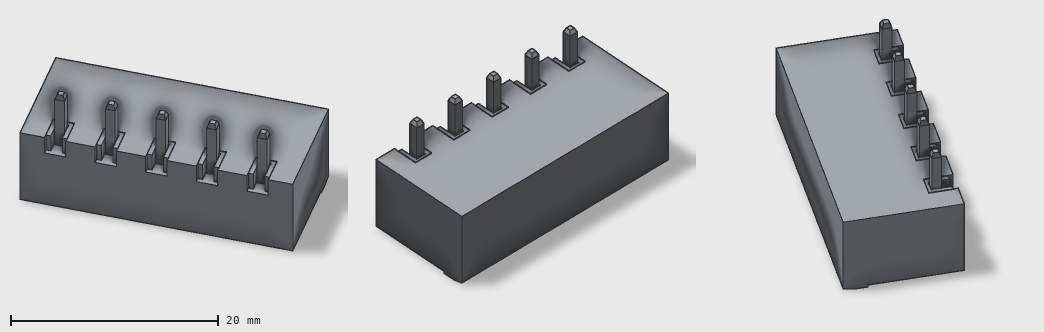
import cadquery as cq

length = 27.4
depth = 12.0
overall_height = 12.65
pin_rise = 4.16
rib_height = 0.25
housing_height = overall_height - pin_rise - rib_height

rib_depth = 2.47
rib_ramp = 1.07

pin_count = 5
pin_row_span = 20.33
pin_pitch = pin_row_span / (pin_count - 1)
pin_width = 1.0
pin_center_y = 2.0
tip_height = 0.5
tip_width = 0.55

notch_width = 2.15
notch_depth = 2.93
notch_height = 1.92
notch_floor = housing_height - notch_height

insert_setback = 0.5
insert_drop = 0.08
slot_width = 1.15
slot_end_y = pin_center_y + slot_width / 2


def box_from(x_center, width, y_front, y_back, z_bottom, z_top):
    """Box centered on x_center, spanning the given y and z ranges."""
    return cq.Workplane("XY").box(
        width, y_back - y_front, z_top - z_bottom, centered=(True, False, False)
    ).translate((x_center, y_front, z_bottom))


def make_housing():
    """Side outline of block and rib, extruded along the full length."""
    outline = [
        (0, 0),
        (depth - rib_depth, 0),
        (depth - rib_depth, -rib_height),
        (depth - rib_ramp, -rib_height),
        (depth, 0),
        (depth, housing_height),
        (0, housing_height),
    ]
    return cq.Workplane("YZ").polyline(outline).close().extrude(length / 2, both=True)


def make_notch(x_center):
    return box_from(x_center, notch_width, 0, notch_depth, notch_floor, housing_height)


def make_insert(x_center):
    insert_top = housing_height - insert_drop
    block = box_from(x_center, notch_width, insert_setback, notch_depth, notch_floor, insert_top)
    slot = box_from(x_center, slot_width, insert_setback, slot_end_y, notch_floor, insert_top)
    return block.cut(slot)


def make_pin(x_center):
    """Square pin standing on the notch floor, with a tapered tip."""
    shoulder = housing_height + pin_rise - tip_height
    shank = box_from(
        x_center, pin_width,
        pin_center_y - pin_width / 2, pin_center_y + pin_width / 2,
        notch_floor, shoulder,
    )
    tip = (
        cq.Workplane("XY", origin=(x_center, pin_center_y, shoulder))
        .rect(pin_width, pin_width)
        .workplane(offset=tip_height)
        .rect(tip_width, tip_width)
        .loft()
    )
    return shank.union(tip)


result = make_housing()
for index in range(pin_count):
    pin_x = index * pin_pitch - pin_row_span / 2
    result = result.cut(make_notch(pin_x))
    result = result.union(make_insert(pin_x))
    result = result.union(make_pin(pin_x))